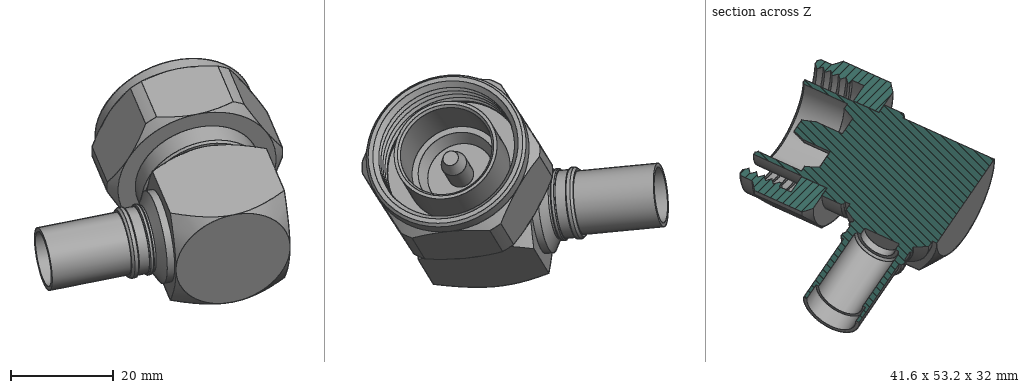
import cadquery as cq
import math


NUT_LENGTH = 16.6
NUT_FLATS = 32.0
NUT_CORNER_DIA = 35.6
NUT_RING_LENGTH = 3.05
NUT_CHAMFER_LENGTH = 1.5
NUT_LIP_CHAMFER = 0.55
NUT_MOUTH_DIA = 29.1
THREAD_MINOR_DIA = 27.15
THREAD_MAJOR_DIA = 29.1
THREAD_PITCH = 1.7
THREAD_GROOVES = 4
RELIEF_DIA = 29.1
RELIEF_LENGTH = 2.55
NUT_CAVITY_DEPTH = 10.85

SLEEVE_DIA = 20.6
SLEEVE_BORE_DIA = 18.3
SLEEVE_START = 0.1
SLEEVE_LIP_CHAMFER = 0.5
SLEEVE_BORE_END = 10.15
THROAT_DIA = 15.85
THROAT_FLOOR_DIA = 13.3
THROAT_END = 12.8
PIN_DIA = 5.05
PIN_TIP_DIA = 3.1
PIN_START = 4.25
PIN_TAPER_LENGTH = 2.65

COLLAR_DIA = 25.05
COLLAR_CHAMFER = 0.4
BLOCK_START = 21.3
BLOCK_END = 41.65
BLOCK_WIDTH = 23.1
BLOCK_CHAMFER_LENGTH = 3.95

FERRULE_END = 35.45
FLANGE_DIA = 18.45
FLANGE_LENGTH = 1.5
CONE_END = 3.0
NECK_DIA = 13.3
RIB_DIA = 14.05
RIB_CHAMFER = 0.2
FIRST_RIB_START = 3.4
FIRST_RIB_END = 4.35
SECOND_RIB_START = 6.45
SECOND_RIB_END = 7.95
SECOND_RIB_CHAMFER = 0.55
TUBE_DIA = 12.45
TUBE_MOUTH_DIA = 10.9
TUBE_MOUTH_DEPTH = 3.75
TUBE_BORE_DIA = 9.75
TUBE_BORE_DEPTH = 18.1
TUBE_SEAT_DIA = 9.05
TUBE_SEAT_DEPTH = 18.65
TUBE_FLOOR_DIA = 7.6
TUBE_FLOOR_DEPTH = 20.25


def turned(profile):
    """Revolve (position, diameter) points about the X axis."""
    points = [(profile[0][0], 0)]
    points += [(position, diameter / 2) for position, diameter in profile]
    points.append((profile[-1][0], 0))
    return cq.Workplane("XY").polyline(points).close().revolve(360, (0, 0, 0), (1, 0, 0))


def make_nut_blank():
    hexagon = (
        cq.Workplane("YZ", origin=(NUT_RING_LENGTH, 0, 0))
        .polygon(6, NUT_FLATS / math.cos(math.pi / 6))
        .extrude(NUT_LENGTH - NUT_RING_LENGTH)
    )
    corner_envelope = turned([
        (NUT_RING_LENGTH, NUT_FLATS),
        (NUT_RING_LENGTH + NUT_CHAMFER_LENGTH, NUT_CORNER_DIA),
        (NUT_LENGTH - NUT_CHAMFER_LENGTH, NUT_CORNER_DIA),
        (NUT_LENGTH, NUT_FLATS),
    ])
    ring = turned([
        (0, NUT_FLATS - 2 * NUT_LIP_CHAMFER),
        (NUT_LIP_CHAMFER, NUT_FLATS),
        (NUT_RING_LENGTH, NUT_FLATS),
    ])
    return hexagon.intersect(corner_envelope).union(ring)


def make_nut_cavity():
    lead_in = (NUT_MOUTH_DIA - THREAD_MINOR_DIA) / 2
    thread_start = lead_in
    profile = [
        (0, NUT_MOUTH_DIA),
        (thread_start, THREAD_MINOR_DIA),
    ]
    for index in range(THREAD_GROOVES):
        groove_start = thread_start + index * THREAD_PITCH
        profile.append((groove_start + THREAD_PITCH / 2, THREAD_MAJOR_DIA))
        profile.append((groove_start + THREAD_PITCH, THREAD_MINOR_DIA))
    relief_start = NUT_CAVITY_DEPTH - RELIEF_LENGTH
    profile += [
        (relief_start, THREAD_MINOR_DIA),
        (relief_start, RELIEF_DIA),
        (NUT_CAVITY_DEPTH, RELIEF_DIA),
        (NUT_CAVITY_DEPTH, SLEEVE_DIA),
        (NUT_LENGTH, SLEEVE_DIA),
    ]
    return turned(profile)


def make_nut():
    return make_nut_blank().cut(make_nut_cavity())


def make_block():
    blank = cq.Workplane("YZ", origin=(BLOCK_START, 0, 0)).rect(BLOCK_WIDTH, BLOCK_WIDTH)
    blank = blank.extrude(BLOCK_END - BLOCK_START)
    corner_dia = BLOCK_WIDTH * math.sqrt(2)
    corner_envelope = turned([
        (BLOCK_START, BLOCK_WIDTH),
        (BLOCK_START + BLOCK_CHAMFER_LENGTH, corner_dia),
        (BLOCK_END - BLOCK_CHAMFER_LENGTH, corner_dia),
        (BLOCK_END, BLOCK_WIDTH),
    ])
    return blank.intersect(corner_envelope)


def make_sleeve_and_collar():
    outside = turned([
        (SLEEVE_START, SLEEVE_DIA),
        (NUT_LENGTH, SLEEVE_DIA),
        (NUT_LENGTH, COLLAR_DIA),
        (BLOCK_START - COLLAR_CHAMFER, COLLAR_DIA),
        (BLOCK_START, COLLAR_DIA - 2 * COLLAR_CHAMFER),
    ])
    bore = turned([
        (SLEEVE_START, SLEEVE_BORE_DIA + 2 * SLEEVE_LIP_CHAMFER),
        (SLEEVE_START + SLEEVE_LIP_CHAMFER, SLEEVE_BORE_DIA),
        (SLEEVE_BORE_END, SLEEVE_BORE_DIA),
        (SLEEVE_BORE_END, THROAT_DIA),
        (THROAT_END, THROAT_FLOOR_DIA),
    ])
    return outside.cut(bore)


def make_pin():
    return turned([
        (PIN_START, PIN_TIP_DIA),
        (PIN_START + PIN_TAPER_LENGTH, PIN_DIA),
        (BLOCK_START, PIN_DIA),
    ])


def on_cable_axis(shape):
    """Turn a shape made along +X so that it runs along -Y from the block centre."""
    block_middle = (BLOCK_START + BLOCK_END) / 2
    return shape.rotate((0, 0, 0), (0, 0, 1), -90).translate((block_middle, 0, 0))


def make_ferrule():
    face = BLOCK_WIDTH / 2
    rib_shoulder_dia = RIB_DIA - 2 * RIB_CHAMFER
    return on_cable_axis(turned([
        (face, FLANGE_DIA),
        (face + FLANGE_LENGTH, FLANGE_DIA),
        (face + CONE_END, NECK_DIA),
        (face + FIRST_RIB_START, NECK_DIA),
        (face + FIRST_RIB_START, rib_shoulder_dia),
        (face + FIRST_RIB_START + RIB_CHAMFER, RIB_DIA),
        (face + FIRST_RIB_END - RIB_CHAMFER, RIB_DIA),
        (face + FIRST_RIB_END, rib_shoulder_dia),
        (face + FIRST_RIB_END, NECK_DIA),
        (face + SECOND_RIB_START, NECK_DIA),
        (face + SECOND_RIB_START, rib_shoulder_dia),
        (face + SECOND_RIB_START + RIB_CHAMFER, RIB_DIA),
        (face + SECOND_RIB_END - SECOND_RIB_CHAMFER, RIB_DIA),
        (face + SECOND_RIB_END, NECK_DIA),
        (face + SECOND_RIB_END, TUBE_DIA),
        (FERRULE_END, TUBE_DIA),
    ]))


def make_cable_bore():
    return on_cable_axis(turned([
        (FERRULE_END - TUBE_FLOOR_DEPTH, TUBE_FLOOR_DIA),
        (FERRULE_END - TUBE_SEAT_DEPTH, TUBE_FLOOR_DIA),
        (FERRULE_END - TUBE_SEAT_DEPTH, TUBE_SEAT_DIA),
        (FERRULE_END - TUBE_BORE_DEPTH, TUBE_BORE_DIA),
        (FERRULE_END - TUBE_MOUTH_DEPTH, TUBE_BORE_DIA),
        (FERRULE_END - TUBE_MOUTH_DEPTH, TUBE_MOUTH_DIA),
        (FERRULE_END, TUBE_MOUTH_DIA),
    ]))


def make_connector_body():
    body = make_sleeve_and_collar().union(make_pin()).union(make_block())
    return body.union(make_ferrule()).cut(make_cable_bore())


coupling_nut = make_nut()
connector_body = make_connector_body()
result = cq.Compound.makeCompound([coupling_nut.val(), connector_body.val()])